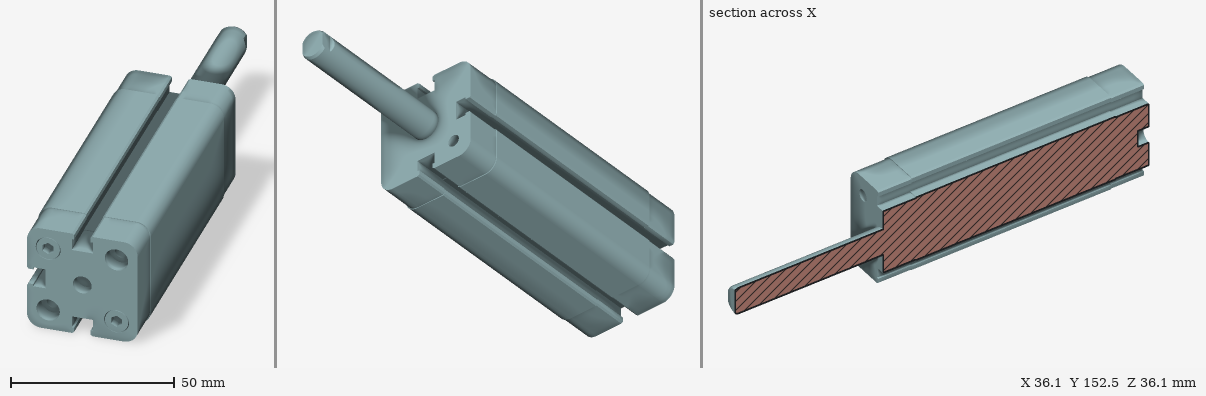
import cadquery as cq
import math


barrel_width = 36.1
cap_width = 35.6
corner_radius = 4.5
cap_length = 12.25
housing_length = 98.0
barrel_length = housing_length - 2 * cap_length

slot_mouth_width = 5.3
slot_inner_width = 6.8
slot_depth = 5.9
slot_lip = 2.0
slot_edge_chamfer_width = 0.65
slot_edge_chamfer_depth = 0.45
slot_angles = (0, 90, 180)

rod_diameter = 10.0
overall_length = 152.5
rod_tip_chamfer_radial = 0.5
rod_tip_chamfer_length = 1.0
flat_spacing = 8.0
flat_length = 3.5

bore_offset = 11.0
through_diameter = 4.13
counterbore_diameter = 7.5
screw_recess_diameter = 8.0
counterbore_depth = 5.0
screw_head_diameter = 7.5
screw_socket_flats = 3.5
screw_socket_depth = 2.5

center_hole_diameter = 6.0
center_hole_depth = 4.0


def plane_at(y):
    """XZ work plane at the given Y whose extrusions run toward +Y (local x is -X)."""
    return cq.Workplane(cq.Plane(origin=(0, y, 0), xDir=(-1, 0, 0), normal=(0, 1, 0)))


def slot_cutter(width, y_start, length):
    """T-slot with bevelled mouth, opening to +Z of a square section of the given width."""
    face = width / 2
    mouth = slot_mouth_width / 2
    inner = slot_inner_width / 2
    half_outline = [
        (mouth + slot_edge_chamfer_width, face),
        (mouth, face - slot_edge_chamfer_depth),
        (mouth, face - slot_lip),
        (inner, face - slot_lip),
        (inner, face - slot_depth),
    ]
    mirrored = [(-x, z) for x, z in reversed(half_outline)]
    return plane_at(y_start).polyline(half_outline + mirrored).close().extrude(length)


def slotted_section(width, y_start, length):
    """Rounded square length of housing with a T-slot on three sides."""
    section = plane_at(y_start).rect(width, width).extrude(length)
    section = section.edges("|Y").fillet(corner_radius)
    cutter = slot_cutter(width, y_start, length)
    for angle in slot_angles:
        section = section.cut(cutter.rotate((0, 0, 0), (0, 1, 0), -angle))
    return section


def piston_rod():
    """Round rod with a tapered tip and two wrench flats that run out at 45 degrees."""
    radius = rod_diameter / 2
    rod_profile = [
        (0, housing_length - cap_length),
        (radius, housing_length - cap_length),
        (radius, overall_length - rod_tip_chamfer_length),
        (radius - rod_tip_chamfer_radial, overall_length),
        (0, overall_length),
    ]
    rod = cq.Workplane("XY").polyline(rod_profile).close().revolve(360, (0, 0, 0), (0, 1, 0))
    flat_x = flat_spacing / 2
    flat_end = overall_length - flat_length
    flat_cutter = (
        cq.Workplane("XY")
        .polyline([
            (flat_x, overall_length),
            (flat_x, flat_end),
            (radius, flat_end - (radius - flat_x)),
            (radius, overall_length),
        ])
        .close()
        .extrude(radius, both=True)
    )
    return rod.cut(flat_cutter).cut(flat_cutter.mirror("YZ"))


def cylinder(x, z, diameter, length):
    """Cylinder along +Y starting on the front cap face."""
    return plane_at(0).center(-x, z).circle(diameter / 2).extrude(length)


def screw_recess(x, z):
    """Ring gap around a cap screw head that sits flush with the cap, plus its hexagon socket."""
    socket_corner_diameter = screw_socket_flats / math.cos(math.pi / 6)
    gap = cylinder(x, z, screw_recess_diameter, counterbore_depth)
    head = cylinder(x, z, screw_head_diameter, counterbore_depth)
    socket = (
        plane_at(0)
        .center(-x, z)
        .transformed(rotate=(0, 0, 90))
        .polygon(6, socket_corner_diameter)
        .extrude(screw_socket_depth)
    )
    return gap.cut(head).union(socket)


front_cap = slotted_section(cap_width, 0, cap_length)
barrel = slotted_section(barrel_width, cap_length, barrel_length)
rear_cap = slotted_section(cap_width, cap_length + barrel_length, cap_length)

result = front_cap.union(barrel).union(rear_cap).union(piston_rod())

for side in (-1, 1):
    bore_x = side * bore_offset
    result = result.cut(cylinder(bore_x, bore_x, through_diameter, housing_length))
    result = result.cut(cylinder(bore_x, bore_x, counterbore_diameter, counterbore_depth))
    result = result.cut(screw_recess(bore_x, -bore_x))

result = result.cut(cylinder(0, 0, center_hole_diameter, center_hole_depth))